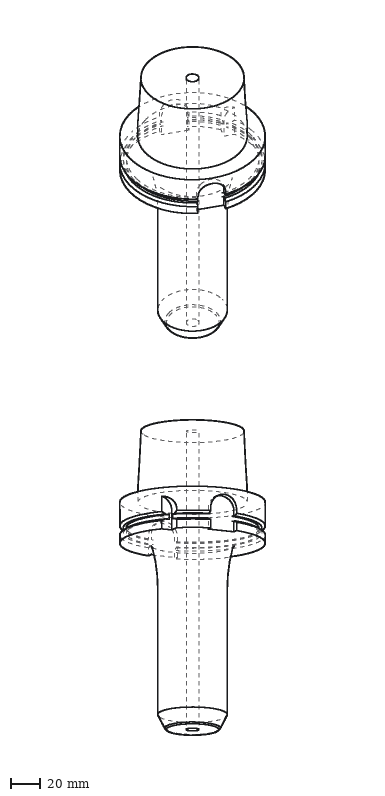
import cadquery as cq
import math

total_height = 210.0
nose_height = 10.5
neck_start = 99.0
neck_end = 127.7
flange_bottom = 131.0
groove_bottom = 137.0
groove_top = 143.2
flange_top = 160.0
taper_start = 170.0

nose_radius = 19.1
nose_chamfer = 1.0
shaft_radius = 24.0
neck_radius = 27.5
neck_root_radius = 30.9
flange_radius = 50.0
groove_radius = 45.5
groove_ledge_radius = 47.7
groove_bevel_rise = 1.5
shank_radius = 37.5
shank_top_radius = 35.5
bore_radius = 4.5

slot_width = 19.7
drive_slot_top = 155.5
side_slot_top = 154.4
drive_floor_x = 44.7
side_floor_x = 31.5
side_slot_y = 41.0


def neck_arc_middle():
    """Midpoint of the neck arc, which leaves the shaft tangentially."""
    rise = neck_end - neck_start
    flare = neck_radius - shaft_radius
    arc_radius = (rise**2 + flare**2) / (2 * flare)
    half_angle = math.asin(rise / arc_radius) / 2
    radius = shaft_radius + arc_radius * (1 - math.cos(half_angle))
    height = neck_start + arc_radius * math.sin(half_angle)
    return radius, height


def turned_body():
    """Shaft, flared neck, grooved flange and tapered shank around Z."""
    return (
        cq.Workplane("XZ")
        .lineTo(nose_radius - nose_chamfer, 0)
        .lineTo(nose_radius, nose_chamfer)
        .lineTo(shaft_radius, nose_height)
        .lineTo(shaft_radius, neck_start)
        .threePointArc(neck_arc_middle(), (neck_radius, neck_end))
        .tangentArcPoint((neck_root_radius, flange_bottom), relative=False)
        .lineTo(flange_radius, flange_bottom)
        .lineTo(flange_radius, groove_bottom)
        .lineTo(groove_ledge_radius, groove_bottom + groove_bevel_rise)
        .lineTo(groove_radius, groove_bottom + groove_bevel_rise)
        .lineTo(groove_radius, groove_top - groove_bevel_rise)
        .lineTo(groove_ledge_radius, groove_top - groove_bevel_rise)
        .lineTo(flange_radius, groove_top)
        .lineTo(flange_radius, flange_top)
        .lineTo(shank_radius, flange_top)
        .lineTo(shank_radius, taper_start)
        .lineTo(shank_top_radius, total_height)
        .lineTo(0, total_height)
        .close()
        .revolve(360, (0, 0, 0), (0, 1, 0))
    )


def slot_cutter(floor_x, center_y, top):
    """Round-topped slot, open at the flange underside, with its floor facing -X."""
    half_width = slot_width / 2
    arch_start = top - half_width
    return (
        cq.Workplane("YZ", origin=(-floor_x, 0, 0))
        .moveTo(center_y - half_width, flange_bottom)
        .lineTo(center_y - half_width, arch_start)
        .threePointArc((center_y, top), (center_y + half_width, arch_start))
        .lineTo(center_y + half_width, flange_bottom)
        .close()
        .extrude(-flange_radius)
    )


drive_slot = slot_cutter(drive_floor_x, 0, drive_slot_top)
side_slot = slot_cutter(side_floor_x, side_slot_y, side_slot_top)
bore = cq.Workplane("XY").circle(bore_radius).extrude(total_height)

result = (
    turned_body()
    .cut(drive_slot)
    .cut(drive_slot.mirror("YZ"))
    .cut(side_slot)
    .cut(bore)
)